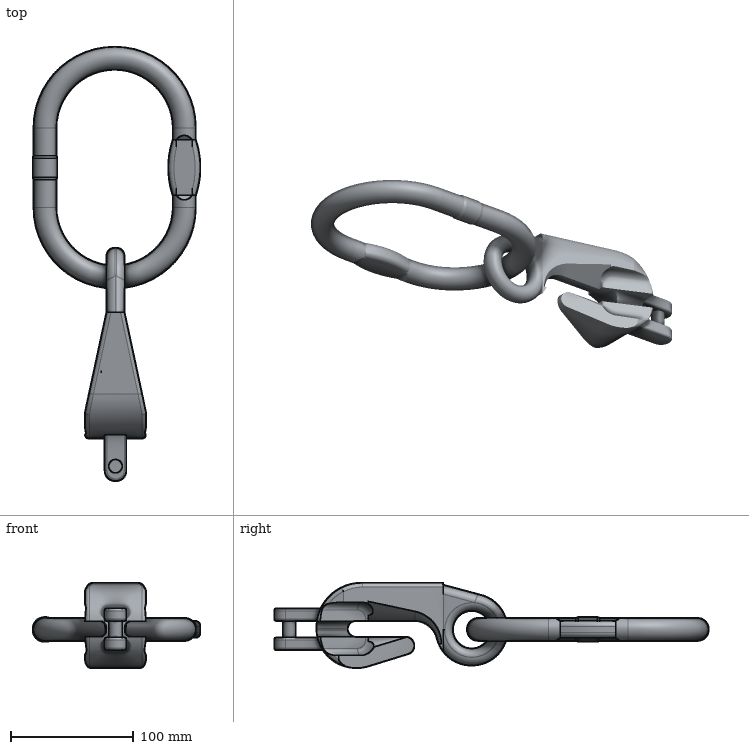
import cadquery as cq
import math


WIRE_D = 19.0
RING_INNER_LENGTH = 160.0
RING_INNER_WIDTH = 95.0
BEND_R = (RING_INNER_WIDTH + WIRE_D) / 2
STRAIGHT_LENGTH = RING_INNER_LENGTH - RING_INNER_WIDTH
WELD_D = 20.43
WELD_LENGTH = 15.5
WELD_TAPER = 2.0
TAG_WIDTH = 26.51
TAG_THICKNESS = 14.0
TAG_FLAT_LENGTH = 45.5
TAG_RUNOUT = 3.6
TAG_FILLET = 4.5

EYE_Y = -95.0
EYE_R = 29.5
EYE_HOLE_R = 15.3
EYE_THICKNESS = 15.0
EYE_FILLET = 7.0
BACK_FILLET = 7.3
NECK_Y = -118.5
HOOK_WIDTH = 50.0
TAPER_END_Y = -200.0
HEEL_TOP_R = 37.0
HEEL_BOTTOM_R = 33.0
HEEL_REAR_Y = -222.2
HEEL_Z = 1.45
HOOK_TOP = HEEL_Z + HEEL_TOP_R
SLOPE = math.radians(15.0)
HOOK_EDGE_FILLET = 3.4
TIP_R = 7.3
TIP_Y = -149.2
JAW_TIP_WIDTH = 5.0
JAW_TAPER = math.radians(20.0)
HOOK_OFFSET_X = 0.7
HOOK_OFFSET_Z = -0.2

SLOT_TOP = 7.0
SLOT_BOTTOM = -5.8
SLOT_HEIGHT = SLOT_TOP - SLOT_BOTTOM
SLOT_Z = (SLOT_TOP + SLOT_BOTTOM) / 2
SLOT_END_Y = -196.4
WEB_WIDTH = 14.8
WEB_FLAT = 1.4
THROAT_R = 18.5
ARM_RIDGE_WIDTH = 9.0
JAW_RIDGE_WIDTH = 9.0
JAW_BEVEL_ANGLE = math.radians(40.0)
POCKET_FRONT_Y = -173.0
POCKET_HEIGHT = 43.4
POCKET_CORNER_R = 13.0
POCKET_FLOOR_R = 6.0
POCKET_ANGLE = 22.8
POCKET_EXIT_Y = -219.0

EAR_WIDTH = 18.0
EAR_THICKNESS = 10.5
EAR_GAP_BOTTOM = -6.3
EAR_END_Y = -256.65
EAR_EDGE_FILLET = 2.0
EAR_ROOT_Y = -200.0
PIN_D = 11.0
PIN_Y = -244.3
EAR_TOP = SLOT_TOP + EAR_THICKNESS
EAR_BOTTOM = EAR_GAP_BOTTOM - EAR_THICKNESS

REACH = 100.0


def box(x0, x1, y0, y1, z0, z1):
    """Box between two opposite corners."""
    return cq.Workplane("XY").box(x1 - x0, y1 - y0, z1 - z0, centered=False).translate((x0, y0, z0))


def side_profile():
    """Workplane for outlines in the YZ plane, extruded along X."""
    return cq.Workplane("YZ")


def both_sides(tool):
    """Tool on the +X side together with its mirror image."""
    return tool.union(tool.mirror("YZ"))


def make_ring():
    half = STRAIGHT_LENGTH / 2
    path = (
        cq.Workplane("XY")
        .moveTo(BEND_R, -half)
        .lineTo(BEND_R, half)
        .threePointArc((0, half + BEND_R), (-BEND_R, half))
        .lineTo(-BEND_R, -half)
        .threePointArc((0, -half - BEND_R), (BEND_R, -half))
        .close()
    )
    ring = cq.Workplane("XZ", origin=(BEND_R, -half, 0)).circle(WIRE_D / 2).sweep(path)
    return add_tag(add_weld(ring))


def add_weld(ring):
    """Slightly thicker weld band with tapered ends on the -X side."""
    wire_r = WIRE_D / 2
    weld_r = WELD_D / 2
    half = WELD_LENGTH / 2
    band = (
        cq.Workplane("XY")
        .polyline([
            (0, -half - WELD_TAPER),
            (wire_r, -half - WELD_TAPER),
            (weld_r, -half),
            (weld_r, half),
            (wire_r, half + WELD_TAPER),
            (0, half + WELD_TAPER),
        ])
        .close()
        .revolve(360, (0, 0, 0), (0, 1, 0))
        .translate((-BEND_R, 0, 0))
    )
    return ring.union(band)


def add_tag(ring):
    """Flattened lens-shaped tag on the +X side: the wire is cut flat and spread sideways."""
    wire_r = WIRE_D / 2
    half_flat = TAG_FLAT_LENGTH / 2
    half_thick = TAG_THICKNESS / 2
    flat_cut = (
        side_profile()
        .polyline([
            (-half_flat, half_thick),
            (half_flat, half_thick),
            (half_flat + TAG_RUNOUT, wire_r),
            (-half_flat - TAG_RUNOUT, wire_r),
        ])
        .close()
        .extrude(TAG_WIDTH / 2, both=True)
        .translate((BEND_R, 0, 0))
    )
    lens = (
        cq.Workplane("XY")
        .moveTo(-wire_r, -half_flat)
        .threePointArc((-TAG_WIDTH / 2, 0), (-wire_r, half_flat))
        .lineTo(wire_r, half_flat)
        .threePointArc((TAG_WIDTH / 2, 0), (wire_r, -half_flat))
        .close()
        .extrude(half_thick, both=True)
        .faces("|Z").edges("%CIRCLE").fillet(TAG_FILLET)
        .translate((BEND_R, 0, 0))
    )
    return ring.cut(flat_cut).cut(flat_cut.mirror("XY")).union(lens)


def on_circle(y, z, radius, angle):
    """Point on a circle in the YZ plane; the angle runs from +Y towards +Z."""
    return (y + radius * math.cos(angle), z + radius * math.sin(angle))


BACK_ANGLE = math.pi / 2 - SLOPE
BACK_TANGENT = on_circle(EYE_Y, 0, EYE_R, BACK_ANGLE)

THROAT_Z = SLOT_TOP - THROAT_R
THROAT_Y = EYE_Y - math.sqrt((EYE_R + THROAT_R) ** 2 - THROAT_Z ** 2)
THROAT_ANGLE = math.atan2(THROAT_Z, THROAT_Y - EYE_Y)
NECK_ANGLE = -math.acos((NECK_Y - EYE_Y) / EYE_R)


def back_height(y):
    """Height of the sloping back line."""
    return BACK_TANGENT[1] + (BACK_TANGENT[0] - y) * math.tan(SLOPE)


def arm_outline():
    """Side outline of arm, heel and lower jaw, with the back still level up to the neck."""
    under_angle = -BACK_ANGLE
    heel_bottom_y = HEEL_REAR_Y + HEEL_BOTTOM_R
    heel_end = on_circle(heel_bottom_y, HEEL_Z, HEEL_BOTTOM_R, under_angle)
    heel_mid = on_circle(heel_bottom_y, HEEL_Z, HEEL_BOTTOM_R, -math.pi * 3 / 4)
    crown_mid = on_circle(HEEL_REAR_Y + HEEL_TOP_R, HEEL_Z, HEEL_TOP_R, math.pi * 3 / 4)
    tip_z = SLOT_BOTTOM - TIP_R
    slot_end_center = SLOT_END_Y + SLOT_HEIGHT / 2
    return (
        side_profile()
        .moveTo(NECK_Y, HOOK_TOP)
        .lineTo(HEEL_REAR_Y + HEEL_TOP_R, HOOK_TOP)
        .threePointArc(crown_mid, (HEEL_REAR_Y, HEEL_Z))
        .threePointArc(heel_mid, heel_end)
        .lineTo(*on_circle(TIP_Y, tip_z, TIP_R, under_angle))
        .threePointArc((TIP_Y + TIP_R, tip_z), (TIP_Y, SLOT_BOTTOM))
        .lineTo(slot_end_center, SLOT_BOTTOM)
        .threePointArc((SLOT_END_Y, SLOT_Z), (slot_end_center, SLOT_TOP))
        .lineTo(THROAT_Y, SLOT_TOP)
        .threePointArc(
            on_circle(THROAT_Y, THROAT_Z, THROAT_R, math.pi / 4),
            on_circle(EYE_Y, 0, EYE_R, THROAT_ANGLE),
        )
        .threePointArc(
            on_circle(EYE_Y, 0, EYE_R, (THROAT_ANGLE + NECK_ANGLE) / 2),
            on_circle(EYE_Y, 0, EYE_R, NECK_ANGLE),
        )
        .close()
    )


def plan_taper():
    """Prism that widens from the eye thickness to the full hook width, then runs straight."""
    half_eye = EYE_THICKNESS / 2
    half_hook = HOOK_WIDTH / 2
    end_y = HEEL_REAR_Y - REACH
    return (
        cq.Workplane("XY")
        .polyline([
            (half_eye, NECK_Y),
            (half_hook, TAPER_END_Y),
            (half_hook, end_y),
            (-half_hook, end_y),
            (-half_hook, TAPER_END_Y),
            (-half_eye, NECK_Y),
        ])
        .close()
        .extrude(REACH, both=True)
    )


def back_ridge():
    """Tapered prism under the sloping back, rounded along its two upper edges."""
    far_y = HEEL_REAR_Y - REACH
    prism = (
        side_profile()
        .polyline([
            (NECK_Y, -REACH),
            (NECK_Y, back_height(NECK_Y)),
            (far_y, back_height(far_y)),
            (far_y, -REACH),
        ])
        .close()
        .extrude(HOOK_WIDTH / 2, both=True)
    )
    upper_edges = cq.selectors.BoxSelector(
        (-REACH, far_y + 1, back_height(NECK_Y) + 1), (REACH, NECK_Y - 1, 2 * REACH)
    )
    return prism.intersect(plan_taper()).edges(upper_edges).edges("not(|X)").fillet(BACK_FILLET)


def jaw_flanks():
    """Wedges beside the lower jaw that narrow it from the full width down to its tip."""
    half_hook = HOOK_WIDTH / 2
    tip_end = TIP_Y + TIP_R
    wedge = (
        cq.Workplane("XY", origin=(0, 0, SLOT_Z))
        .polyline([
            (JAW_TIP_WIDTH / 2, tip_end),
            (half_hook, tip_end - (half_hook - JAW_TIP_WIDTH / 2) / math.tan(JAW_TAPER)),
            (half_hook, tip_end),
        ])
        .close()
        .extrude(-REACH)
    )
    return both_sides(wedge)


def make_eye():
    """Eye with a rounded section, and the web that joins its back to the arm."""
    mid_r = (EYE_R + EYE_HOLE_R) / 2
    ring = (
        side_profile()
        .circle(EYE_R)
        .circle(EYE_HOLE_R)
        .extrude(EYE_THICKNESS / 2, both=True)
        .faces("|X").edges().fillet(EYE_FILLET)
        .translate((0, EYE_Y, 0))
    )
    back_edges = cq.selectors.BoxSelector(
        (-REACH, NECK_Y + 1, BACK_TANGENT[1] + 1), (REACH, EYE_Y, REACH)
    )
    web = (
        side_profile()
        .moveTo(*BACK_TANGENT)
        .lineTo(NECK_Y, back_height(NECK_Y))
        .lineTo(NECK_Y, 0)
        .lineTo(EYE_Y - mid_r, 0)
        .threePointArc(
            on_circle(EYE_Y, 0, mid_r, math.pi * 3 / 4),
            on_circle(EYE_Y, 0, mid_r, BACK_ANGLE),
        )
        .close()
        .extrude(EYE_THICKNESS / 2, both=True)
        .edges(back_edges)
        .fillet(BACK_FILLET)
    )
    return ring.union(web)


def make_arm():
    """Tapered arm, heel and lower jaw with rounded outer edges."""
    arm = arm_outline().extrude(HOOK_WIDTH / 2, both=True).intersect(plan_taper())
    arm = arm.cut(jaw_flanks())
    back_and_heel = cq.selectors.BoxSelector(
        (-REACH, HEEL_REAR_Y - 1, SLOT_TOP + 1), (REACH, NECK_Y - 1, REACH)
    )
    arm = arm.edges(back_and_heel).edges("not(|X or |Z)").fillet(HOOK_EDGE_FILLET)
    return arm.intersect(back_ridge())


def throat_bevels():
    """45 degree bevels along the underside of the arm, following its straight part and the throat arc."""
    half_ridge = ARM_RIDGE_WIDTH / 2
    depth = HOOK_WIDTH / 2
    section = [
        (half_ridge, SLOT_TOP),
        (half_ridge + depth, SLOT_TOP + depth),
        (half_ridge + depth, SLOT_TOP),
    ]
    straight = (
        cq.Workplane("XZ", origin=(0, THROAT_Y, 0))
        .polyline(section)
        .close()
        .extrude(THROAT_Y - POCKET_FRONT_Y + POCKET_CORNER_R / 2)
    )
    curved = (
        cq.Workplane("XZ", origin=(0, THROAT_Y, 0))
        .polyline(section)
        .close()
        .revolve(90, (0, THROAT_Z, 0), (-1, THROAT_Z, 0))
    )
    return both_sides(straight.union(curved))


def jaw_bevels():
    """Bevels along the upper side of the lower jaw, from its tip to the pocket."""
    half_ridge = JAW_RIDGE_WIDTH / 2
    width = HOOK_WIDTH / 2
    bevel = (
        cq.Workplane("XZ", origin=(0, TIP_Y, 0))
        .polyline([
            (half_ridge, SLOT_BOTTOM),
            (half_ridge + width, SLOT_BOTTOM),
            (half_ridge + width, SLOT_BOTTOM - width * math.tan(JAW_BEVEL_ANGLE)),
        ])
        .close()
        .extrude(TIP_Y - POCKET_FRONT_Y + POCKET_CORNER_R / 2)
    )
    return both_sides(bevel)


def slot_grooves():
    """Rounded grooves that carry the chain slot along both sides of the web at the heel."""
    groove_r = (SLOT_HEIGHT - WEB_FLAT) / 2
    web_x = WEB_WIDTH / 2
    groove = (
        cq.Workplane("XZ", origin=(0, SLOT_END_Y + SLOT_HEIGHT, 0))
        .moveTo(REACH, SLOT_BOTTOM)
        .lineTo(web_x + groove_r, SLOT_BOTTOM)
        .radiusArc((web_x, SLOT_BOTTOM + groove_r), groove_r)
        .lineTo(web_x, SLOT_TOP - groove_r)
        .radiusArc((web_x + groove_r, SLOT_TOP), groove_r)
        .lineTo(REACH, SLOT_TOP)
        .close()
        .extrude(REACH)
    )
    return both_sides(groove)


def link_pockets():
    """Rounded side pockets for the neighbouring chain links; their floors run out towards the heel."""
    half_height = POCKET_HEIGHT / 2
    length = POCKET_FRONT_Y - POCKET_EXIT_Y
    pocket = (
        box(0, HOOK_WIDTH, -length, length, -half_height, half_height)
        .edges("|X and >Y").fillet(POCKET_CORNER_R)
        .faces("<X").edges("not(<Y)").fillet(POCKET_FLOOR_R)
        .rotate((0, 0, 0), (0, 0, 1), POCKET_ANGLE)
        .translate((HOOK_WIDTH / 2, POCKET_EXIT_Y, SLOT_Z))
    )
    return both_sides(pocket)


def make_ear(bottom):
    """Clevis ear with a round end and softened edges."""
    end_r = EAR_WIDTH / 2
    center_y = EAR_END_Y + end_r
    return (
        cq.Workplane("XY", origin=(0, 0, bottom))
        .moveTo(end_r, EAR_ROOT_Y)
        .lineTo(end_r, center_y)
        .threePointArc((0, EAR_END_Y), (-end_r, center_y))
        .lineTo(-end_r, EAR_ROOT_Y)
        .close()
        .extrude(EAR_THICKNESS)
        .faces("|Z").edges("not(>Y)").fillet(EAR_EDGE_FILLET)
    )


def make_pin():
    """Clevis pin, flush with the outer faces of both ears."""
    return (
        cq.Workplane("XY", origin=(0, PIN_Y, EAR_BOTTOM))
        .circle(PIN_D / 2)
        .extrude(EAR_TOP - EAR_BOTTOM)
    )


def make_hook(pin):
    """Arm with its cuts, joined to the eye and the clevis ears and bored for the pin."""
    hook = make_arm()
    for cutter in (throat_bevels(), jaw_bevels(), slot_grooves(), link_pockets()):
        hook = hook.cut(cutter)
    hook = hook.union(make_eye())
    for ear_bottom in (SLOT_TOP, EAR_BOTTOM):
        hook = hook.union(make_ear(ear_bottom))
    return hook.cut(pin)


ring = make_ring()
pin = make_pin()
hook = make_hook(pin)
hook_offset = (HOOK_OFFSET_X, 0, HOOK_OFFSET_Z)
pin = pin.translate(hook_offset)
hook = hook.translate(hook_offset)
result = cq.Compound.makeCompound([ring.val(), hook.val(), pin.val()])